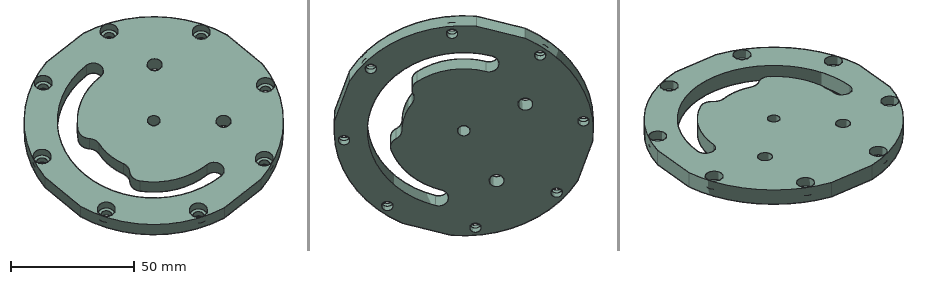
import cadquery as cq
import math

thickness = 7.0
across_flats = 103.0
disc_radius = 52.5

centre_hole_diameter = 5.0
eye_diameter = 6.0
eye_offset = 20.0
screw_count = 8
screw_circle_radius = 48.7
screw_diameter = 4.5
counterbore_diameter = 7.2
counterbore_depth = 4.0

slot_outer_radius = 39.0
slot_inner_radius = 31.0
slot_middle_radius = 25.0
blend_radius = 5.0
hollow_angle = 16.3


def polar(radius, angle):
    """Point at an angle in degrees from -Y, positive towards +X."""
    turn = math.radians(angle)
    return radius * math.sin(turn), -radius * math.cos(turn)


def offset_point(start, end, distance):
    """Point at a distance from start on the line towards end."""
    share = distance / math.dist(start, end)
    return tuple(a + share * (b - a) for a, b in zip(start, end))


def mirrored(point):
    return -point[0], point[1]


def make_disc():
    disc = cq.Workplane("XY").circle(disc_radius).extrude(thickness)
    square = cq.Workplane("XY").rect(across_flats, across_flats).extrude(thickness)
    return disc.intersect(square)


def make_slot():
    bump_distance = slot_inner_radius - blend_radius
    hollow_distance = slot_middle_radius + blend_radius
    blend_spacing = 2 * blend_radius
    angle_cosine = (bump_distance**2 + hollow_distance**2 - blend_spacing**2) / (
        2 * bump_distance * hollow_distance
    )
    bump_angle = hollow_angle + math.degrees(math.acos(angle_cosine))

    bump_centre = polar(bump_distance, bump_angle)
    hollow_centre = polar(hollow_distance, hollow_angle)
    bump_start = polar(slot_inner_radius, bump_angle)
    bump_middle = (bump_centre[0], bump_centre[1] - blend_radius)
    blend_joint = offset_point(bump_centre, hollow_centre, blend_radius)
    hollow_middle = (hollow_centre[0], hollow_centre[1] + blend_radius)
    hollow_end = polar(slot_middle_radius, hollow_angle)
    inner_middle = polar(slot_inner_radius, (90 + bump_angle) / 2)

    end_radius = (slot_outer_radius - slot_inner_radius) / 2
    end_top = (slot_inner_radius + end_radius, end_radius)
    outer_end = (slot_outer_radius, 0)
    inner_end = (slot_inner_radius, 0)

    return (
        cq.Workplane("XY")
        .moveTo(*outer_end)
        .threePointArc(end_top, inner_end)
        .threePointArc(inner_middle, bump_start)
        .threePointArc(bump_middle, blend_joint)
        .threePointArc(hollow_middle, hollow_end)
        .threePointArc((0, -slot_middle_radius), mirrored(hollow_end))
        .threePointArc(mirrored(hollow_middle), mirrored(blend_joint))
        .threePointArc(mirrored(bump_middle), mirrored(bump_start))
        .threePointArc(mirrored(inner_middle), mirrored(inner_end))
        .threePointArc(mirrored(end_top), mirrored(outer_end))
        .threePointArc((0, -slot_outer_radius), outer_end)
        .close()
        .extrude(thickness)
    )


plate = make_disc().cut(make_slot())

plate = plate.faces(">Z").workplane(origin=(0, 0, thickness)).hole(centre_hole_diameter)
plate = (
    plate.faces(">Z")
    .workplane(origin=(0, 0, thickness))
    .pushPoints([(-eye_offset, eye_offset), (eye_offset, eye_offset)])
    .hole(eye_diameter)
)

result = (
    plate.faces(">Z")
    .workplane(origin=(0, 0, thickness))
    .polarArray(screw_circle_radius, 180 / screw_count, 360, screw_count)
    .cboreHole(screw_diameter, counterbore_diameter, counterbore_depth)
)